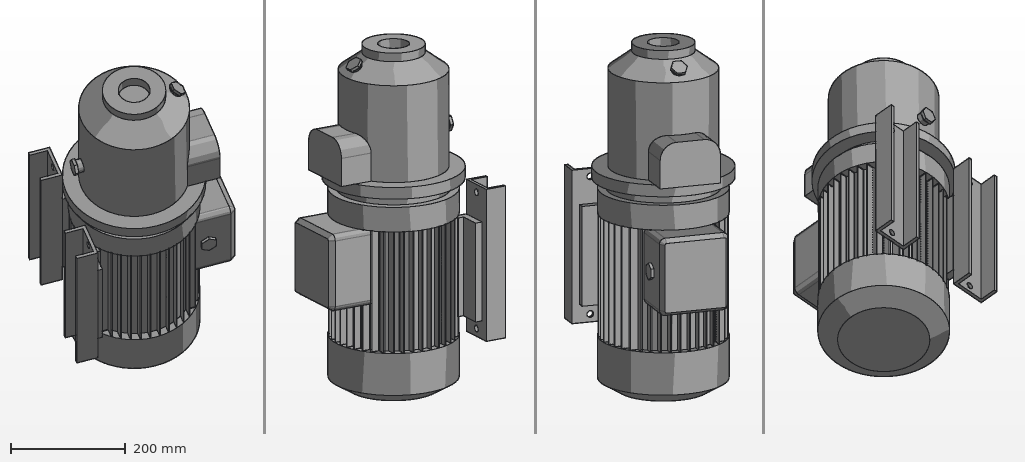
import cadquery as cq
import math


COVER_CONE_TOP = 21.0
FIN_BOTTOM = 97.5
FIN_TOP = 320.0
NECK_BOTTOM = 365.0
FLANGE_BOTTOM = 383.5
FLANGE_TOP = 405.0
CONE_BOTTOM = 582.0
CONE_TOP = 613.0
OVERALL_HEIGHT = 628.5

MOTOR_RADIUS = 115.0
COVER_END_RADIUS = 80.5
NECK_RADIUS = 100.5
FLANGE_RADIUS = 125.0
CORE_RADIUS = 100.5
FIN_RADIUS = 114.0
FIN_PITCH_RADIUS = 110.5
FIN_THICKNESS = 2.0
FINS_PER_SIDE = 10
SIDES = 4
FIN_PITCH_ANGLE = 360 / (SIDES * FINS_PER_SIDE)

BOX_HALF_WIDTH = 63.5
BOX_FRONT = 166.5
BOX_BOTTOM = 180.0
BOX_EDGE_RADIUS = 10.0
BOX_CHAMFER_DEPTH = 10.0
BOX_CHAMFER_WIDTH = 7.0
GLAND_LENGTH = 5.5
GLAND_Y = 115.0

RAIL_SPAN = 258.0
RAIL_OUTER_X = RAIL_SPAN / 2
RAIL_WIDTH = 68.0
RAIL_BACK_Y = -111.0
RAIL_DEPTH = 39.0
RAIL_THICKNESS = 6.0
RAIL_BOTTOM = 100.0
RAIL_TOP = 378.5
RAIL_HOLE_RADIUS = 6.0
RAIL_HOLE_INSET = 14.5
FOOT_OUTER_X = 115.0
FOOT_INNER_X = 60.5
FOOT_LEG_X = 74.0
FOOT_THICKNESS = 13.0
FOOT_LEG_DEPTH = 24.0
FOOT_BOTTOM = 134.0
FOOT_TOP = 315.0

GEARBOX_RADIUS = 97.0
NOSE_RADIUS = 55.0
BORE_RADIUS = 27.5
BORE_DEPTH = 18.0
BLOCK_HALF_WIDTH = 56.0
BLOCK_FRONT = 139.5
BLOCK_TOP = 486.5
BLOCK_EDGE_RADIUS = 30.0

HEX_SIDES = 6
HEX_FLATS = 26.5
HEX_CORNERS = HEX_FLATS / math.cos(math.pi / HEX_SIDES)
HEX_THICKNESS = 6.0
STEM_RADIUS = 12.0
STEM_ROOT = 9.5
DRAIN_HEIGHT = 466.0
DRAIN_STEM_LENGTH = 10.0
VENT_STEM_LENGTH = 3.45


def box_between(x, y, z):
    """Box spanning the given (low, high) pairs along X, Y and Z."""
    size = (x[1] - x[0], y[1] - y[0], z[1] - z[0])
    return cq.Workplane().box(*size, centered=False).translate((x[0], y[0], z[0]))


def revolved(points):
    """Solid of revolution about Z from (radius, height) points."""
    return cq.Workplane("XZ").polyline(points).close().revolve(360, (0, 0), (0, 1))


def screw_plug(origin, normal, stem_length):
    """Round stem with a hexagonal head, standing on a surface point along its normal."""
    seat = cq.Plane(origin=origin, xDir=(1, 0, 0), normal=normal)
    stem = cq.Workplane(seat).workplane(offset=-STEM_ROOT).circle(STEM_RADIUS)
    stem = stem.extrude(STEM_ROOT + stem_length)
    head = cq.Workplane(seat).workplane(offset=stem_length).polygon(HEX_SIDES, HEX_CORNERS)
    return stem.union(head.extrude(HEX_THICKNESS))


def motor_core():
    return revolved([
        (0, 0),
        (COVER_END_RADIUS, 0),
        (MOTOR_RADIUS, COVER_CONE_TOP),
        (MOTOR_RADIUS, FIN_BOTTOM),
        (CORE_RADIUS, FIN_BOTTOM),
        (CORE_RADIUS, FIN_TOP),
        (MOTOR_RADIUS, FIN_TOP),
        (MOTOR_RADIUS, NECK_BOTTOM),
        (NECK_RADIUS, NECK_BOTTOM),
        (NECK_RADIUS, FLANGE_BOTTOM),
        (FLANGE_RADIUS, FLANGE_BOTTOM),
        (FLANGE_RADIUS, FLANGE_TOP),
        (0, FLANGE_TOP),
    ])


def cooling_fins():
    """Plates through the motor, parallel to X and to Y, trimmed to the round fin outline."""
    height = FIN_TOP - FIN_BOTTOM
    half_thickness = FIN_THICKNESS / 2
    full = (-FIN_RADIUS, FIN_RADIUS)
    fin_z = (FIN_BOTTOM, FIN_TOP)
    plates = cq.Workplane()
    for i in range(FINS_PER_SIDE):
        angle = math.radians((i - (FINS_PER_SIDE - 1) / 2) * FIN_PITCH_ANGLE)
        offset = FIN_PITCH_RADIUS * math.sin(angle)
        narrow = (offset - half_thickness, offset + half_thickness)
        plates = plates.add(box_between(full, narrow, fin_z))
        plates = plates.add(box_between(narrow, full, fin_z))
    envelope = cq.Workplane(origin=(0, 0, FIN_BOTTOM)).circle(FIN_RADIUS).extrude(height)
    return plates.combine().intersect(envelope)


def terminal_box():
    box = box_between((-BOX_HALF_WIDTH, BOX_HALF_WIDTH), (0, BOX_FRONT), (BOX_BOTTOM, FIN_TOP))
    box = box.edges("|Y").fillet(BOX_EDGE_RADIUS)
    box = box.faces(">Y").chamfer(BOX_CHAMFER_WIDTH, BOX_CHAMFER_DEPTH)
    gland_plane = cq.Plane(
        origin=(BOX_HALF_WIDTH, GLAND_Y, (BOX_BOTTOM + FIN_TOP) / 2), xDir=(0, 0, 1), normal=(1, 0, 0))
    gland = cq.Workplane(gland_plane).polygon(HEX_SIDES, HEX_CORNERS).extrude(GLAND_LENGTH)
    return box.union(gland)


def rail_with_foot():
    """Channel rail and foot on the +X side."""
    inner_x = RAIL_OUTER_X - RAIL_WIDTH
    center_x = RAIL_OUTER_X - RAIL_WIDTH / 2
    open_y = RAIL_BACK_Y - RAIL_DEPTH
    rail = box_between((inner_x, RAIL_OUTER_X), (open_y, RAIL_BACK_Y), (RAIL_BOTTOM, RAIL_TOP))
    rail = rail.cut(box_between(
        (inner_x + RAIL_THICKNESS, RAIL_OUTER_X - RAIL_THICKNESS),
        (open_y, RAIL_BACK_Y - RAIL_THICKNESS),
        (RAIL_BOTTOM, RAIL_TOP)))
    for z in (RAIL_BOTTOM + RAIL_HOLE_INSET, RAIL_TOP - RAIL_HOLE_INSET):
        hole = cq.Workplane("XZ", origin=(center_x, RAIL_BACK_Y, z)).circle(RAIL_HOLE_RADIUS)
        rail = rail.cut(hole.extrude(RAIL_DEPTH))
    foot_z = (FOOT_BOTTOM, FOOT_TOP)
    foot = box_between(
        (FOOT_INNER_X, FOOT_OUTER_X), (RAIL_BACK_Y, RAIL_BACK_Y + FOOT_THICKNESS), foot_z)
    leg = box_between(
        (FOOT_INNER_X, FOOT_LEG_X), (RAIL_BACK_Y, RAIL_BACK_Y + FOOT_LEG_DEPTH), foot_z)
    return rail.union(foot).union(leg)


def make_motor():
    right_rail = rail_with_foot()
    motor = motor_core().union(cooling_fins()).union(terminal_box())
    return motor.union(right_rail).union(right_rail.mirror("YZ"))


def gearbox_housing():
    return revolved([
        (0, FLANGE_TOP),
        (GEARBOX_RADIUS, FLANGE_TOP),
        (GEARBOX_RADIUS, CONE_BOTTOM),
        (NOSE_RADIUS, CONE_TOP),
        (NOSE_RADIUS, OVERALL_HEIGHT),
        (BORE_RADIUS, OVERALL_HEIGHT),
        (BORE_RADIUS, OVERALL_HEIGHT - BORE_DEPTH),
        (0, OVERALL_HEIGHT - BORE_DEPTH),
    ])


def side_block():
    block = box_between(
        (-BLOCK_HALF_WIDTH, BLOCK_HALF_WIDTH), (0, BLOCK_FRONT), (FLANGE_TOP, BLOCK_TOP))
    return block.edges("|Y and >Z").fillet(BLOCK_EDGE_RADIUS)


def make_gearbox():
    drain_plug = screw_plug((0, -GEARBOX_RADIUS, DRAIN_HEIGHT), (0, -1, 0), DRAIN_STEM_LENGTH)
    cone_middle = (0, (GEARBOX_RADIUS + NOSE_RADIUS) / 2, (CONE_BOTTOM + CONE_TOP) / 2)
    cone_normal = (0, CONE_TOP - CONE_BOTTOM, GEARBOX_RADIUS - NOSE_RADIUS)
    vent_plug = screw_plug(cone_middle, cone_normal, VENT_STEM_LENGTH)
    return gearbox_housing().union(side_block()).union(drain_plug).union(vent_plug)


motor = make_motor()
gearbox = make_gearbox()

result = cq.Compound.makeCompound([motor.val(), gearbox.val()])